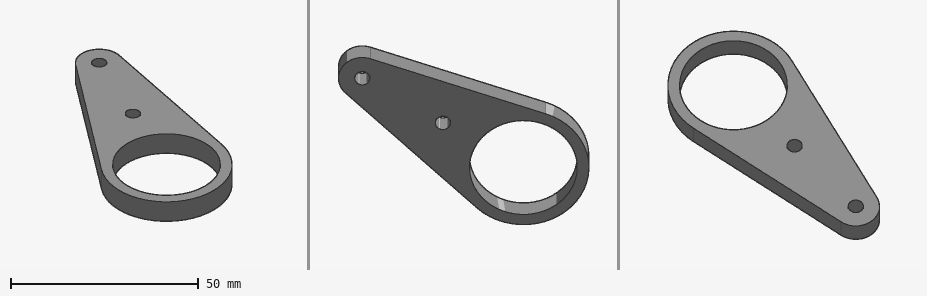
import cadquery as cq
import math

length = 74.55
thickness = 6.3
ring_radius = 17.45
bore_diameter = 28.6
tip_radius = 6.3
pin_hole_diameter = 4.0

tip_x = tip_radius - length / 2
ring_x = length / 2 - ring_radius
centre_distance = ring_x - tip_x
middle_hole_x = (tip_x + ring_x) / 2

flank_angle = math.asin((ring_radius - tip_radius) / centre_distance)


def tangent_point(centre_x, radius, side):
    """Point where a flank meets an end arc; side is +1 or -1 in Y."""
    return (
        centre_x - radius * math.sin(flank_angle),
        side * radius * math.cos(flank_angle),
    )


plate = (
    cq.Workplane("XY")
    .workplane(offset=-thickness / 2)
    .moveTo(*tangent_point(tip_x, tip_radius, -1))
    .lineTo(*tangent_point(ring_x, ring_radius, -1))
    .threePointArc((length / 2, 0), tangent_point(ring_x, ring_radius, 1))
    .lineTo(*tangent_point(tip_x, tip_radius, 1))
    .threePointArc((-length / 2, 0), tangent_point(tip_x, tip_radius, -1))
    .close()
    .extrude(thickness)
)


def through_hole(body, centre_x, diameter):
    """Cut a vertical hole on the long axis through the whole plate."""
    return body.faces(">Z").workplane(origin=(0, 0, 0)).center(centre_x, 0).hole(diameter)


result = through_hole(plate, ring_x, bore_diameter)
for hole_x in (tip_x, middle_hole_x):
    result = through_hole(result, hole_x, pin_hole_diameter)